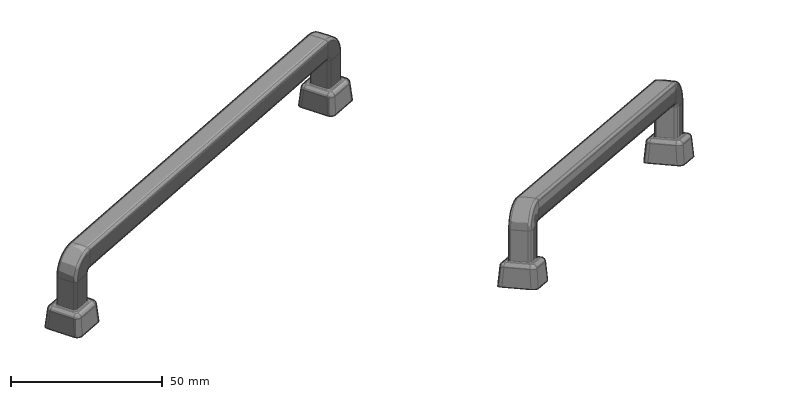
import cadquery as cq
import math

length = 174.0
height = 28.0
foot_size = 14.0
foot_pitch = length - foot_size

bar_size = 8.0
bar_edge_radius = 1.0
bar_crown = 0.2
bend_inner_radius = 1.0
bend_center_radius = bend_inner_radius + bar_size / 2

foot_height = 8.0
foot_draft = 5.0
foot_corner_radius = 2.0
foot_rim_radius = 1.5
neck_radius = 0.3


def bar_section():
    """Square with four slightly crowned sides and rounded corners."""
    middle = bar_size / 2
    corner = middle - bar_crown
    return (
        cq.Sketch()
        .arc((-corner, -corner), (0, -middle), (corner, -corner))
        .arc((corner, -corner), (middle, 0), (corner, corner))
        .arc((corner, corner), (0, middle), (-corner, corner))
        .arc((-corner, corner), (-middle, 0), (-corner, -corner))
        .assemble()
        .vertices()
        .fillet(bar_edge_radius)
    )


def make_bar():
    """Sweep the rounded square section along the bent centerline, foot to foot."""
    leg_y = foot_pitch / 2
    grip_z = height - bar_size / 2
    straight_y = leg_y - bend_center_radius
    bend_z = grip_z - bend_center_radius
    diagonal = bend_center_radius * math.sqrt(0.5)
    arc_y = straight_y + diagonal
    arc_z = bend_z + diagonal

    centerline = (
        cq.Workplane("YZ")
        .moveTo(-leg_y, foot_height)
        .lineTo(-leg_y, bend_z)
        .threePointArc((-arc_y, arc_z), (-straight_y, grip_z))
        .lineTo(straight_y, grip_z)
        .threePointArc((arc_y, arc_z), (leg_y, bend_z))
        .lineTo(leg_y, foot_height)
    )
    start = cq.Workplane("XY", origin=(0, -leg_y, foot_height))
    return start.placeSketch(bar_section()).sweep(centerline)


def make_foot(y_center):
    """Tapered block with rounded corners and a rounded upper rim."""
    block = cq.Workplane("XY", origin=(0, y_center, 0)).rect(foot_size, foot_size)
    foot = block.extrude(foot_height, taper=foot_draft)
    foot = foot.edges("not #Z").fillet(foot_corner_radius)
    return foot.faces(">Z").edges().fillet(foot_rim_radius)


def blend_necks(handle):
    """Fillet the inside edges where the legs stand on the feet."""
    reach = bar_size / 2 + neck_radius / 2
    slack = neck_radius / 2
    for side in (-1, 1):
        y_center = side * foot_pitch / 2
        neck = cq.selectors.BoxSelector(
            (-reach, y_center - reach, foot_height - slack),
            (reach, y_center + reach, foot_height + slack),
            boundingbox=True,
        )
        handle = handle.edges(neck).fillet(neck_radius)
    return handle


result = make_bar()
for side in (-1, 1):
    result = result.union(make_foot(side * foot_pitch / 2))
result = blend_necks(result)